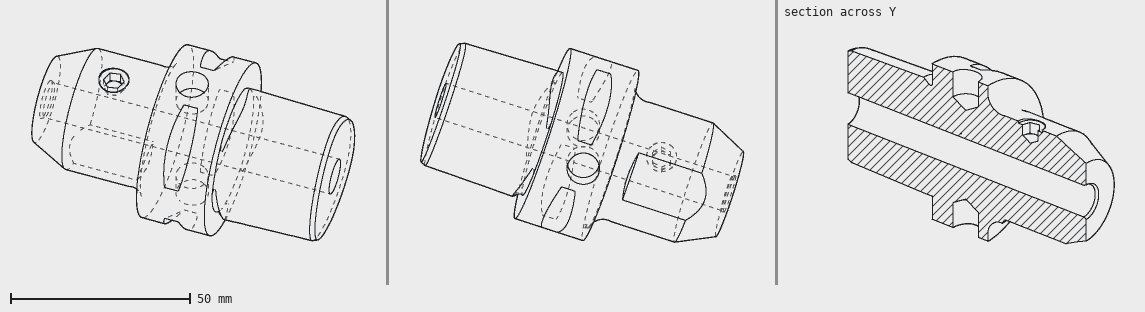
import cadquery as cq
import math

length = 85.0
nose_end = 10.5
body_end = 29.1
flange_start = 35.0
flange_end = 55.0
taper_start = 58.05
rim_length = 1.4

nose_dia = 25.0
body_dia = 35.0
neck_dia = 34.8
flange_dia = 50.0
neck_fillet = 5.0
body_flat_height = 16.0

bore_dia = 10.0
bore_chamfer_step = 0.5
bore_chamfer_length = 0.85

screw_x = 20.0
screw_dia = 8.4
screw_top = 16.8
socket_sides = 6
socket_across_flats = 5.0
socket_depth = 3.4
socket_turn = 10.0

flange_hole_x = 43.0
flange_hole_dia = 9.0
flange_hole_depth = 8.0
drill_point_angle = 118.0

slot_floor_width = 4.1
slot_flare = 1.4
slot_floor_fillet = 0.4
slot_floor_radius = 21.9
slot_angles = (45, 135, 225, 315)

shank_radius = 18.6
lobe_height = 1.0
taper_slope = 1 / 40
rim_step = 0.6
lobe_count = 3
points_per_lobe = 12
relief_dia = 35.8
relief_edge_rise = 0.25
relief_floor_width = 1.2
relief_outer_dia = 40.8
relief_slope = 40.0

taper_end = length - rim_length
shank_tip_radius = shank_radius - taper_slope * (taper_end - taper_start)


def turned_body():
    """Nose cone, cylindrical body, filleted neck and flange, turned about X."""
    neck_r = neck_dia / 2
    fillet_start = flange_start - neck_fillet
    fillet_top = neck_r + neck_fillet
    diagonal = neck_fillet * math.sqrt(0.5)
    fillet_middle = (fillet_start + diagonal, fillet_top - diagonal)
    profile = (
        cq.Workplane("XY")
        .moveTo(0, 0)
        .lineTo(0, nose_dia / 2)
        .lineTo(nose_end, body_dia / 2)
        .lineTo(body_end, body_dia / 2)
        .lineTo(fillet_start, neck_r)
        .threePointArc(fillet_middle, (flange_start, fillet_top))
        .lineTo(flange_start, flange_dia / 2)
        .lineTo(flange_end, flange_dia / 2)
        .lineTo(flange_end, 0)
        .close()
    )
    return profile.revolve(360, (0, 0, 0), (1, 0, 0))


def body_flat():
    """Material below the flat under the nose and body, sloping out to the neck."""
    below = -flange_dia / 2
    fillet_start = flange_start - neck_fillet
    profile = cq.Workplane("XZ").polyline([
        (0, below),
        (0, -body_flat_height),
        (body_end, -body_flat_height),
        (fillet_start, -neck_dia / 2),
        (fillet_start, below),
    ]).close()
    return profile.extrude(body_dia / 2, both=True)


def lobe_point(radius, angle, x):
    """Point of the constant-width trilobe whose tangent faces the given angle."""
    phase = lobe_count * (angle - math.pi / 2)
    reach = radius + lobe_height * math.cos(phase)
    sideways = -lobe_count * lobe_height * math.sin(phase)
    y = reach * math.cos(angle) - sideways * math.sin(angle)
    z = reach * math.sin(angle) + sideways * math.cos(angle)
    return cq.Vector(x, y, z)


def lobe_wire(radius, x):
    """Trilobe outline, one lobe to the top, split at the middle of each flat side."""
    span = 2 * math.pi / lobe_count
    first_flat = math.pi / 2 - span / 2
    edges = []
    for lobe in range(lobe_count):
        start = first_flat + lobe * span
        angles = [start + span * i / points_per_lobe for i in range(points_per_lobe + 1)]
        points = [lobe_point(radius, angle, x) for angle in angles]
        tangents = [cq.Vector(0, -math.sin(a), math.cos(a)) for a in (angles[0], angles[-1])]
        edges.append(cq.Edge.makeSpline(points, tangents))
    return cq.Wire.assembleEdges(edges)


def shank():
    """Straight root, tapered length and chamfered rim of the trilobe shank."""
    sections = [
        lobe_wire(shank_radius, flange_end),
        lobe_wire(shank_radius, taper_start),
        lobe_wire(shank_tip_radius, taper_end),
        lobe_wire(shank_tip_radius - rim_step, length),
    ]
    return cq.Workplane(cq.Solid.makeLoft(sections, True))


def shank_relief():
    """Turned relief behind the flange, with a hollow floor, that cuts only into the lobes."""
    floor_r = relief_dia / 2
    edge_r = floor_r + relief_edge_rise
    outer_r = relief_outer_dia / 2
    floor_middle = flange_end + relief_floor_width / 2
    floor_end = flange_end + relief_floor_width
    cone_end = floor_end + (outer_r - edge_r) / math.tan(math.radians(relief_slope))
    profile = (
        cq.Workplane("XY")
        .moveTo(flange_end, edge_r)
        .threePointArc((floor_middle, floor_r), (floor_end, edge_r))
        .lineTo(cone_end, outer_r)
        .lineTo(flange_end, outer_r)
        .close()
    )
    return profile.revolve(360, (0, 0, 0), (1, 0, 0))


def bore():
    """Through bore with a chamfered mouth at the nose."""
    radius = bore_dia / 2
    mouth = radius + bore_chamfer_step
    profile = cq.Workplane("XY").polyline([
        (0, 0), (0, mouth), (bore_chamfer_length, radius), (length, radius), (length, 0),
    ]).close()
    return profile.revolve(360, (0, 0, 0), (1, 0, 0))


def drill_point(dia, x, z):
    """Downward cone left by a drill of the given diameter."""
    height = dia / 2 / math.tan(math.radians(drill_point_angle / 2))
    return cq.Workplane(cq.Solid.makeCone(dia / 2, 0, height, cq.Vector(x, 0, z), cq.Vector(0, 0, -1)))


def screw_recess():
    """Counterbore down to the screw face, with a pointed hexagon socket in it."""
    face = cq.Workplane("XY", origin=(screw_x, 0, screw_top))
    counterbore = face.circle(screw_dia / 2).extrude(body_dia / 2)
    across_corners = socket_across_flats / math.cos(math.pi / socket_sides)
    socket = face.transformed(rotate=(0, 0, socket_turn)).polygon(socket_sides, across_corners)
    socket = socket.extrude(-socket_depth)
    point = drill_point(socket_across_flats, screw_x, screw_top - socket_depth)
    return counterbore.union(socket).union(point)


def flange_hole():
    """Blind drilling down into the top of the flange."""
    floor = flange_dia / 2 - flange_hole_depth
    hole = (
        cq.Workplane("XY", origin=(flange_hole_x, 0, floor))
        .circle(flange_hole_dia / 2)
        .extrude(flange_dia / 2)
    )
    return hole.union(drill_point(flange_hole_dia, flange_hole_x, floor))


def gripper_slot():
    """Flat-floored slot with flared walls, cut straight across the top of the flange."""
    middle = (flange_start + flange_end) / 2
    half_floor = slot_floor_width / 2
    half_top = half_floor + slot_flare
    profile = cq.Workplane("XZ").polyline([
        (middle - half_floor, slot_floor_radius),
        (middle + half_floor, slot_floor_radius),
        (middle + half_top, flange_dia / 2),
        (middle - half_top, flange_dia / 2),
    ]).close()
    slot = profile.extrude(flange_dia / 2, both=True)
    return slot.faces("<Z").edges("|Y").fillet(slot_floor_fillet)


def turned_about_x(shape, angle):
    return shape.rotate((0, 0, 0), (1, 0, 0), angle)


result = turned_body().cut(body_flat())
result = result.union(shank().cut(shank_relief()))
for angle in slot_angles:
    result = result.cut(turned_about_x(gripper_slot(), angle))
for angle in (0, 180):
    result = result.cut(turned_about_x(flange_hole(), angle))
result = result.cut(screw_recess()).cut(bore())